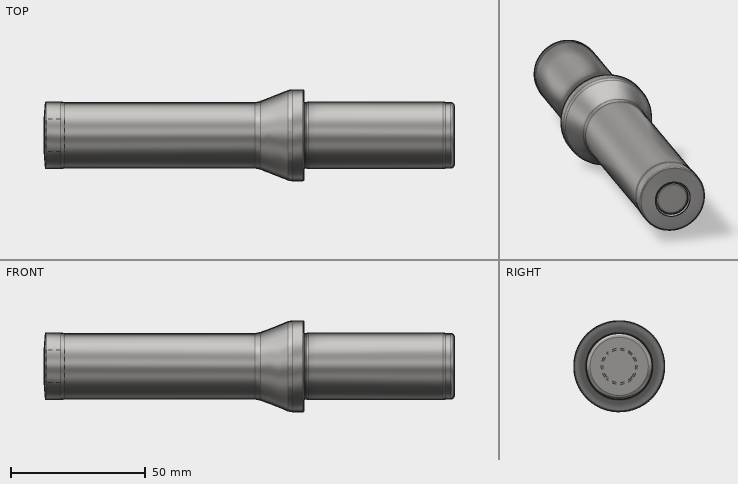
import cadquery as cq

LENGTH = 153.0
HANDLE_RADIUS = 24.5 / 2
FIT_RADIUS = 25.0 / 2
FLANGE_RADIUS = 34.0 / 2

FACE_DROP = 0.5
BAND_END = 6.1
BAND_TAPER_END = 7.5
BAND_EDGE_RADIUS = 0.5

CONE_START = 79.7
CONE_END = 91.8
FLANGE_END = 96.8
CONE_ROOT_RADIUS = 5.2
CONE_RIM_RADIUS = 4.6
FLANGE_EDGE_RADIUS = 0.5

NECK_END = 97.8
NECK_TAPER_END = 98.7
NECK_ROOT_RADIUS = 0.5

TIP_TAPER_START = 148.9
TIP_TAPER_END = 149.8
TIP_EDGE_RADIUS = 1.4

PLUG_RADIUS = 6.1
PLUG_DEPTH = 7.6
PLUG_EDGE_RADIUS = 0.6
SEAT_CHAMFER = 0.6
SEAT_MOUTH_RADIUS = PLUG_RADIUS + SEAT_CHAMFER

SELECTION_SLACK = 0.08


def round_edge(body, x, edge_radius, fillet_radius):
    """Fillet the circular edge of the given radius at station x."""
    reach = edge_radius + SELECTION_SLACK
    box = cq.selectors.BoxSelector(
        (x - SELECTION_SLACK, -reach, -reach),
        (x + SELECTION_SLACK, reach, reach),
        boundingbox=True,
    )
    matching = [edge for edge in body.edges(box).vals() if edge.geomType() == "CIRCLE"]
    matching = [edge for edge in matching if abs(edge.radius() - edge_radius) < SELECTION_SLACK]
    return body.newObject(matching).fillet(fillet_radius)


def make_pillar():
    half_section = [
        (PLUG_DEPTH, 0),
        (PLUG_DEPTH, PLUG_RADIUS),
        (SEAT_CHAMFER, PLUG_RADIUS),
        (0, SEAT_MOUTH_RADIUS),
        (FACE_DROP, FIT_RADIUS),
        (BAND_END, FIT_RADIUS),
        (BAND_TAPER_END, HANDLE_RADIUS),
        (CONE_START, HANDLE_RADIUS),
        (CONE_END, FLANGE_RADIUS),
        (FLANGE_END, FLANGE_RADIUS),
        (FLANGE_END, HANDLE_RADIUS),
        (NECK_END, HANDLE_RADIUS),
        (NECK_TAPER_END, FIT_RADIUS),
        (TIP_TAPER_START, FIT_RADIUS),
        (TIP_TAPER_END, HANDLE_RADIUS),
        (LENGTH, HANDLE_RADIUS),
        (LENGTH, 0),
    ]
    body = cq.Workplane("XY").polyline(half_section).close().revolve(360, (0, 0, 0), (1, 0, 0))
    rounded_edges = [
        (FACE_DROP, FIT_RADIUS, BAND_EDGE_RADIUS),
        (CONE_START, HANDLE_RADIUS, CONE_ROOT_RADIUS),
        (CONE_END, FLANGE_RADIUS, CONE_RIM_RADIUS),
        (FLANGE_END, FLANGE_RADIUS, FLANGE_EDGE_RADIUS),
        (FLANGE_END, HANDLE_RADIUS, NECK_ROOT_RADIUS),
        (LENGTH, HANDLE_RADIUS, TIP_EDGE_RADIUS),
    ]
    for x, edge_radius, fillet_radius in rounded_edges:
        body = round_edge(body, x, edge_radius, fillet_radius)
    return body


def make_plug():
    body = cq.Workplane("YZ", origin=(SEAT_CHAMFER, 0, 0)).circle(PLUG_RADIUS)
    body = body.extrude(PLUG_DEPTH - SEAT_CHAMFER)
    return body.faces("<X").edges().fillet(PLUG_EDGE_RADIUS)


pillar = make_pillar()
plug = make_plug()
result = cq.Compound.makeCompound([pillar.val(), plug.val()])